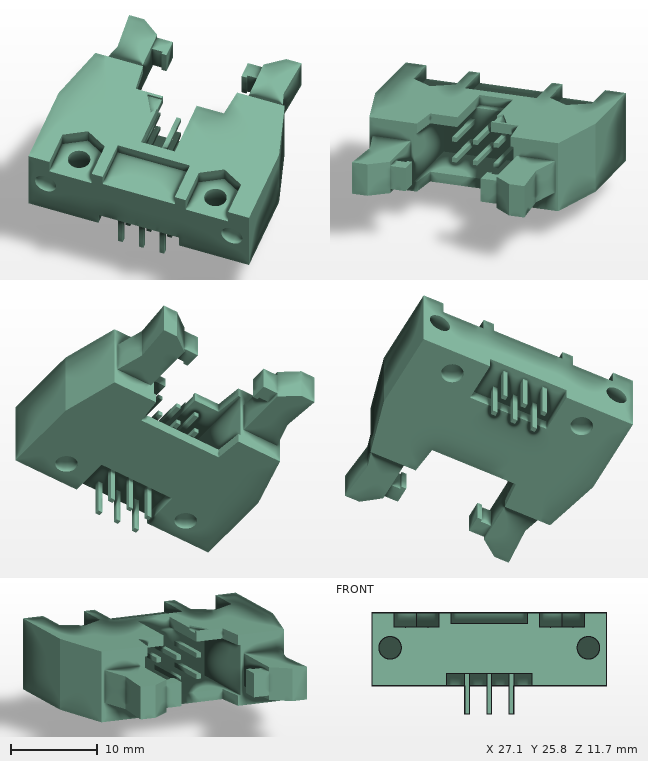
import cadquery as cq
import math

WIDTH = 27.1
HEIGHT = 8.45
MID_HEIGHT = HEIGHT / 2
SHOULDER_Y = 10.1
TOWER_Y = 17.25
TOWER_OUTER_X = 11.63
TOWER_INNER_X = 5.77
MOUTH_Y = 13.8
MOUTH_HALF_WIDTH = 5.42

WALL = 1.22
SOCKET_HALF_WIDTH = 6.1
SOCKET_BACK_Y = 7.43
KEY_SLOT_WIDTH = 4.15
KEY_SLOT_BACK_Y = 6.45

PITCH = 2.55
COLUMNS = 3
PIN_SIZE = 0.57
PIN_TIP_Y = 13.47
LEG_LENGTH = 3.25
FIRST_LEG_Y = 1.08

LEG_RECESS_WIDTH = 9.92
LEG_RECESS_HEIGHT = 1.4

LABEL_WIDTH = 8.85
RECESS_LENGTH = 5.07
LABEL_DEPTH = 1.27
BOLT_X = 8.37
BOLT_Y = 2.87
HOLE_DIAMETER = 2.6
NUT_FLATS = 5.2
NUT_DEPTH = 1.68

REAR_HOLE_X = 11.44
REAR_HOLE_Z = 4.4
REAR_HOLE_DEPTH = 5.42

MARK_WIDTH = 2.65
MARK_LENGTH = 2.47
MARK_DEPTH = 0.27

LATCH_HEIGHT = 3.9
LATCH_INNER_X = 6.53
LATCH_ROOT_X = 11.22
LATCH_WAIST_X = 10.22
LATCH_WAIST_Y = 20.8
LATCH_TIP_OUTER_X = 10.6
LATCH_TIP_INNER_X = 8.73
LATCH_TIP_Y = 25.75
HOOK_HEIGHT = 2.87
HOOK_END_X = 4.6
HOOK_FRONT_Y = 24.06
HOOK_BACK_Y = 22.28
LIP_WIDTH = 0.6
LIP_LENGTH = 0.33


def box(width, y_start, y_end, z_start, z_end, x_center=0.0):
    """Block centred on x_center between the given Y and Z limits."""
    return (
        cq.Workplane("XY")
        .box(width, y_end - y_start, z_end - z_start, centered=(True, False, False))
        .translate((x_center, y_start, z_start))
    )


def prism(points, z_start, z_end):
    """Closed XY outline extruded between two heights."""
    outline = cq.Workplane("XY").workplane(offset=z_start).polyline(points).close()
    return outline.extrude(z_end - z_start)


def both_sides(shape):
    """The shape together with its mirror image across X = 0."""
    return shape.union(shape.mirror("YZ"))


def housing():
    right_side = [
        (WIDTH / 2, 0),
        (WIDTH / 2, SHOULDER_Y),
        (TOWER_OUTER_X, TOWER_Y),
        (TOWER_INNER_X, TOWER_Y),
        (MOUTH_HALF_WIDTH, MOUTH_Y),
    ]
    left_side = [(-x, y) for x, y in reversed(right_side)]
    return prism(right_side + left_side, 0, HEIGHT)


def socket():
    """Cavity open to the front, joined with the key slot through its roof."""
    cavity = box(2 * SOCKET_HALF_WIDTH, SOCKET_BACK_Y, TOWER_Y, WALL, HEIGHT - WALL)
    key_slot = box(KEY_SLOT_WIDTH, KEY_SLOT_BACK_Y, TOWER_Y, HEIGHT - WALL, HEIGHT)
    return cavity.union(key_slot)


def nut_pocket():
    """Hexagonal nut seat widened straight to the rear, with its through hole."""
    hexagon_diameter = NUT_FLATS / math.cos(math.pi / 6)
    floor = HEIGHT - NUT_DEPTH
    seat = (
        cq.Workplane("XY")
        .workplane(offset=floor)
        .polygon(6, hexagon_diameter)
        .extrude(NUT_DEPTH)
        .rotate((0, 0, 0), (0, 0, 1), 30)
        .translate((BOLT_X, BOLT_Y, 0))
    )
    entry = box(NUT_FLATS, 0, BOLT_Y, floor, HEIGHT, BOLT_X)
    hole = cq.Workplane("XY").center(BOLT_X, BOLT_Y).circle(HOLE_DIAMETER / 2).extrude(HEIGHT)
    return seat.union(entry).union(hole)


def rear_hole():
    section = cq.Workplane("XZ").center(REAR_HOLE_X, REAR_HOLE_Z).circle(HOLE_DIAMETER / 2)
    return section.extrude(-REAR_HOLE_DEPTH)


def first_contact_mark():
    center_x = -PITCH
    points = [
        (center_x - MARK_WIDTH / 2, PIN_TIP_Y),
        (center_x + MARK_WIDTH / 2, PIN_TIP_Y),
        (center_x, PIN_TIP_Y - MARK_LENGTH),
    ]
    return prism(points, HEIGHT - MARK_DEPTH, HEIGHT)


def contact(x, leg_y, pin_z):
    """Square wire: a pin along Y in the socket, bent down into a leg."""
    half = PIN_SIZE / 2
    pin = box(PIN_SIZE, leg_y - half, PIN_TIP_Y, pin_z - half, pin_z + half, x)
    leg = box(PIN_SIZE, leg_y - half, leg_y + half, -LEG_LENGTH, pin_z + half, x)
    return pin.union(leg)


def latch():
    """Right-hand latch arm with its inward hook."""
    arm_outline = [
        (LATCH_INNER_X, TOWER_Y),
        (LATCH_ROOT_X, TOWER_Y),
        (LATCH_WAIST_X, LATCH_WAIST_Y),
        (LATCH_TIP_OUTER_X, LATCH_TIP_Y),
        (LATCH_TIP_INNER_X, LATCH_TIP_Y),
        (LATCH_INNER_X, HOOK_FRONT_Y),
    ]
    hook_outline = [
        (LATCH_INNER_X, HOOK_FRONT_Y),
        (HOOK_END_X, HOOK_FRONT_Y),
        (HOOK_END_X, HOOK_BACK_Y - LIP_LENGTH),
        (HOOK_END_X + LIP_WIDTH, HOOK_BACK_Y - LIP_LENGTH),
        (HOOK_END_X + LIP_WIDTH, HOOK_BACK_Y),
        (LATCH_INNER_X, HOOK_BACK_Y),
    ]
    arm = prism(arm_outline, MID_HEIGHT - LATCH_HEIGHT / 2, MID_HEIGHT + LATCH_HEIGHT / 2)
    hook = prism(hook_outline, MID_HEIGHT - HOOK_HEIGHT / 2, MID_HEIGHT + HOOK_HEIGHT / 2)
    return arm.union(hook)


label_recess = box(LABEL_WIDTH, 0, RECESS_LENGTH, HEIGHT - LABEL_DEPTH, HEIGHT)
leg_recess = box(LEG_RECESS_WIDTH, 0, RECESS_LENGTH, 0, LEG_RECESS_HEIGHT)

result = (
    housing()
    .cut(socket())
    .cut(label_recess)
    .cut(leg_recess)
    .cut(both_sides(nut_pocket()))
    .cut(both_sides(rear_hole()))
    .cut(first_contact_mark())
    .union(both_sides(latch()))
)

for column in range(COLUMNS):
    contact_x = (column - (COLUMNS - 1) / 2) * PITCH
    result = result.union(contact(contact_x, FIRST_LEG_Y, MID_HEIGHT + PITCH / 2))
    result = result.union(contact(contact_x, FIRST_LEG_Y + PITCH, MID_HEIGHT - PITCH / 2))